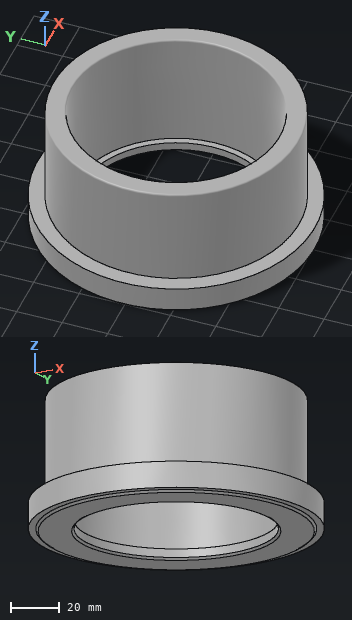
import cadquery as cq

flange_diameter = 121.8
total_height = 56.8

edge_size = 1.0

face_root_diameter = 115.5
shoulder_height = 12.2

spigot_diameter = 108.0

bore_diameter = 84.0
lip_top_height = 4.6
socket_bottom_diameter = 89.8
socket_mouth_diameter = 90.6

flange_radius = flange_diameter / 2
face_root_radius = face_root_diameter / 2
spigot_radius = spigot_diameter / 2
bore_radius = bore_diameter / 2
socket_bottom_radius = socket_bottom_diameter / 2
socket_mouth_radius = socket_mouth_diameter / 2

half_section = [
    (bore_radius, edge_size),
    (bore_radius + edge_size, 0),
    (face_root_radius - edge_size, 0),
    (face_root_radius, edge_size),
    (flange_radius, edge_size),
    (flange_radius, shoulder_height),
    (spigot_radius, shoulder_height),
    (spigot_radius, total_height),
    (socket_mouth_radius, total_height),
    (socket_bottom_radius, lip_top_height),
    (bore_radius, lip_top_height),
]

body = cq.Workplane("XZ").polyline(half_section).close().revolve(360, (0, 0), (0, 1))

result = body.faces(">Z").edges().fillet(edge_size)